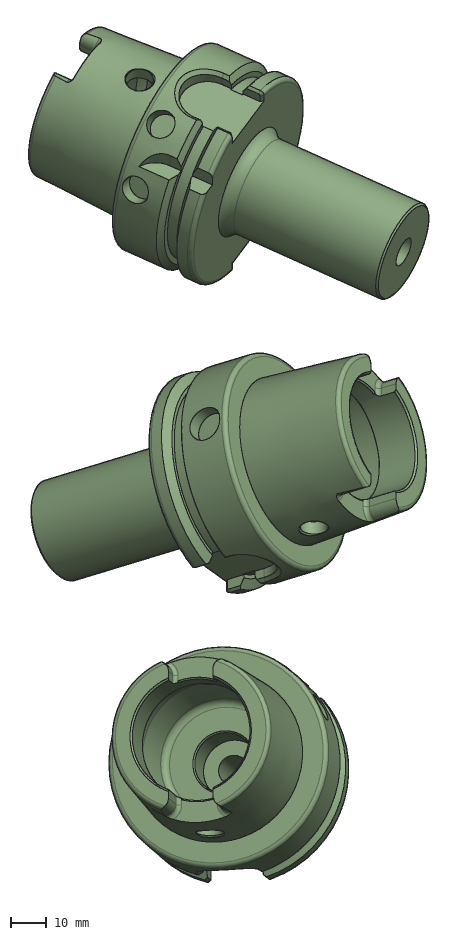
import cadquery as cq
import math


total_length = 108.0
taper_length = 32.0
flange_end = 58.0
groove_start = 48.0
groove_end = 51.6

flange_diameter = 63.0
flange_radius = flange_diameter / 2
groove_radius = 27.5
groove_flank_angle = math.radians(30)
groove_front_bevel = 1.3
groove_rear_bevel = 1.6
flange_round = 1.3
taper_root_radius = 24.3
taper_rate = 0.05
taper_round = 1.2
stub_radius = 14.6
stub_fillet = 4.5
stub_fillet_end = 61.8
stub_chamfer = 0.5

mouth_radius = 16.8
mouth_chamfer = 0.5
mouth_end = 12.4
clamp_radius = 19.9
clamp_cone_angle = math.radians(60)
clamp_end = 25.3
throat_cone_angle = math.radians(10)
throat_radius = 17.7
hollow_floor_fillet = 2.0
socket_radius = 8.5
socket_chamfer = 0.4
socket_depth = 10.8
coolant_radius = 4.2

drive_half_width = 6.4
drive_shoulder_height = 21.1
drive_flare_radius = 3.0
drive_floor_fillet = 1.3
drive_edge_chamfer = 0.4
upper_drive_depth = 6.2
lower_drive_depth = 10.2

clamp_hole_x = 23.0
clamp_hole_radius = 3.9
clamp_hole_chamfer = 0.4
pocket_hole_x = 38.0
pocket_hole_diameter = 8.1
radial_hole_floor = 27.0
pocket_hole_spread = 18.5
chip_hole_x = 38.9
chip_hole_radius = 5.0
chip_hole_angle = 180

keyway_half_width = 8.0
keyway_floor = 26.5
keyway_center_x = 44.9
flange_key_chamfer = 1.2
ring_key_chamfer = 0.9
notch_angle = 45
notch_corner = 19.9
notch_center_x = 44.3

arc_middle_inset = 1 - math.sqrt(0.5)
pick_margin = 0.1


def revolve_about_x(profile):
    return profile.close().revolve(360, (0, 0, 0), (1, 0, 0))


def outer_body():
    taper_mouth_radius = taper_root_radius - taper_rate * taper_length
    front_bevel_depth = groove_front_bevel / math.tan(groove_flank_angle)
    rear_bevel_depth = groove_rear_bevel / math.tan(groove_flank_angle)
    neck_center_radius = stub_radius + stub_fillet

    def neck_radius_at(x):
        return neck_center_radius - math.sqrt(stub_fillet**2 - (stub_fillet_end - x) ** 2)

    neck_middle = (flange_end + stub_fillet_end) / 2
    round_middle = flange_round * arc_middle_inset
    profile = (
        cq.Workplane("XY")
        .moveTo(0, 0)
        .lineTo(0, taper_mouth_radius)
        .lineTo(taper_length, taper_root_radius)
        .lineTo(taper_length, flange_radius - flange_round)
        .threePointArc(
            (taper_length + round_middle, flange_radius - round_middle),
            (taper_length + flange_round, flange_radius),
        )
        .lineTo(groove_start - groove_front_bevel, flange_radius)
        .lineTo(groove_start, flange_radius - front_bevel_depth)
        .lineTo(groove_start, groove_radius)
        .lineTo(groove_end, groove_radius)
        .lineTo(groove_end, flange_radius - rear_bevel_depth)
        .lineTo(groove_end + groove_rear_bevel, flange_radius)
        .lineTo(flange_end - flange_round, flange_radius)
        .threePointArc(
            (flange_end - round_middle, flange_radius - round_middle),
            (flange_end, flange_radius - flange_round),
        )
        .lineTo(flange_end, neck_radius_at(flange_end))
        .threePointArc((neck_middle, neck_radius_at(neck_middle)), (stub_fillet_end, stub_radius))
        .lineTo(total_length - stub_chamfer, stub_radius)
        .lineTo(total_length, stub_radius - stub_chamfer)
        .lineTo(total_length, 0)
    )
    body = revolve_about_x(profile)
    return body.faces("<X").edges().fillet(taper_round)


def hollow():
    clamp_start = mouth_end + (clamp_radius - mouth_radius) / math.tan(clamp_cone_angle)
    throat_start = clamp_end + (clamp_radius - throat_radius) / math.tan(throat_cone_angle)
    hollow_depth = throat_start + hollow_floor_fillet
    fillet_middle = hollow_floor_fillet * arc_middle_inset
    socket_floor = hollow_depth + socket_depth
    profile = (
        cq.Workplane("XY")
        .moveTo(0, 0)
        .lineTo(0, mouth_radius + mouth_chamfer)
        .lineTo(mouth_chamfer, mouth_radius)
        .lineTo(mouth_end, mouth_radius)
        .lineTo(clamp_start, clamp_radius)
        .lineTo(clamp_end, clamp_radius)
        .lineTo(throat_start, throat_radius)
        .threePointArc(
            (hollow_depth - fillet_middle, throat_radius - fillet_middle),
            (hollow_depth, throat_radius - hollow_floor_fillet),
        )
        .lineTo(hollow_depth, socket_radius + socket_chamfer)
        .lineTo(hollow_depth + socket_chamfer, socket_radius)
        .lineTo(socket_floor, socket_radius)
        .lineTo(socket_floor, coolant_radius)
        .lineTo(total_length, coolant_radius)
        .lineTo(total_length, 0)
    )
    return revolve_about_x(profile)


def drive_slot(depth):
    """Slot across the upper wall of the taper, flaring out with round shoulders."""
    flare_start = drive_shoulder_height - drive_flare_radius
    flare_end = drive_half_width + drive_flare_radius
    flare_middle = drive_flare_radius * arc_middle_inset
    shoulder_end = taper_root_radius
    slot = (
        cq.Workplane("YZ")
        .moveTo(-drive_half_width, 0)
        .lineTo(-drive_half_width, flare_start)
        .threePointArc(
            (-drive_half_width - flare_middle, drive_shoulder_height - flare_middle),
            (-flare_end, drive_shoulder_height),
        )
        .lineTo(-shoulder_end, drive_shoulder_height)
        .lineTo(-shoulder_end, shoulder_end)
        .lineTo(shoulder_end, shoulder_end)
        .lineTo(shoulder_end, drive_shoulder_height)
        .lineTo(flare_end, drive_shoulder_height)
        .threePointArc(
            (drive_half_width + flare_middle, drive_shoulder_height - flare_middle),
            (drive_half_width, flare_start),
        )
        .lineTo(drive_half_width, 0)
        .close()
        .extrude(depth)
    )
    side_walls = cq.selectors.BoxSelector(
        (depth - pick_margin, -flare_end - pick_margin, pick_margin),
        (depth + pick_margin, flare_end + pick_margin, shoulder_end - pick_margin),
    )
    slot = slot.edges(side_walls).fillet(drive_floor_fillet)
    edge_bevel = revolve_about_x(
        cq.Workplane("XY")
        .moveTo(depth, 0)
        .lineTo(depth, mouth_radius + drive_edge_chamfer)
        .lineTo(depth + drive_edge_chamfer, mouth_radius)
        .lineTo(depth + drive_edge_chamfer, 0)
    )
    floor_width = 2 * (drive_half_width - drive_floor_fillet)
    floor_zone = cq.Workplane("XY").box(
        total_length, floor_width, shoulder_end, centered=(True, True, False)
    )
    return slot.union(edge_bevel.intersect(floor_zone))


def radial_hole(x, radius, floor, angle):
    """Blind hole with a flat floor; the angle is measured from -Y towards +Z."""
    direction = cq.Vector(0, -math.cos(math.radians(angle)), math.sin(math.radians(angle)))
    start = cq.Vector(x, 0, 0) + direction * floor
    return cq.Workplane(cq.Solid.makeCylinder(radius, flange_radius, start, direction))


def clamp_holes(body):
    """Cross hole through both walls of the taper, with bevelled outer rims."""
    hole = (
        cq.Workplane("XY")
        .center(clamp_hole_x, 0)
        .circle(clamp_hole_radius)
        .extrude(flange_radius, both=True)
    )
    wall_radius = taper_root_radius - taper_rate * (taper_length - clamp_hole_x)
    rim_radius = clamp_hole_radius + clamp_hole_chamfer
    rim = (
        cq.Workplane("XZ")
        .moveTo(0, wall_radius - 2 * clamp_hole_chamfer)
        .lineTo(clamp_hole_radius - clamp_hole_chamfer, wall_radius - 2 * clamp_hole_chamfer)
        .lineTo(rim_radius, wall_radius)
        .lineTo(rim_radius, flange_radius)
        .lineTo(0, flange_radius)
        .close()
        .revolve(360, (0, 0, 0), (0, 1, 0))
        .translate((clamp_hole_x, 0, 0))
    )
    return body.cut(hole).cut(rim).cut(rim.mirror("XY"))


def open_ended_slot(center_x, center_y, floor):
    """Milled slot running in from the flange's rear face, with a round inner end."""
    length = flange_end - center_x
    width = 2 * keyway_half_width
    base = cq.Workplane("XY").workplane(offset=floor).center(center_x, center_y)
    round_end = base.circle(keyway_half_width).extrude(flange_radius)
    channel = base.center(length / 2, 0).rect(length, width).extrude(flange_radius)
    return round_end.union(channel)


def bevel_key_edges(body, start, end, size):
    """Bevel the edges between both keyways and the outer cylinder from start to end."""
    rim_height = math.sqrt(flange_radius**2 - keyway_half_width**2)
    lowest = rim_height - pick_margin
    side = keyway_half_width + pick_margin
    for low, high in ((lowest, flange_radius), (-flange_radius, -lowest)):
        rim = cq.selectors.BoxSelector((start, -side, low), (end, side, high))
        body = body.edges(rim).chamfer(size)
    return body


result = outer_body()

keyway = open_ended_slot(keyway_center_x, 0, keyway_floor)
result = result.cut(keyway).cut(keyway.mirror("XY"))
result = bevel_key_edges(result, taper_length, groove_start - groove_front_bevel, flange_key_chamfer)
result = bevel_key_edges(result, groove_end + groove_rear_bevel, flange_end - flange_round, ring_key_chamfer)

notch_center_y = -notch_corner - keyway_half_width
result = result.cut(open_ended_slot(notch_center_x, notch_center_y, notch_corner))

result = result.cut(hollow())
result = result.cut(drive_slot(upper_drive_depth))
result = result.cut(drive_slot(lower_drive_depth).mirror("XY"))
result = clamp_holes(result)

for pocket_angle in (notch_angle - pocket_hole_spread, notch_angle + pocket_hole_spread):
    pocket = radial_hole(pocket_hole_x, pocket_hole_diameter / 2, radial_hole_floor, pocket_angle)
    result = result.cut(pocket)
result = result.cut(radial_hole(chip_hole_x, chip_hole_radius, radial_hole_floor, chip_hole_angle))